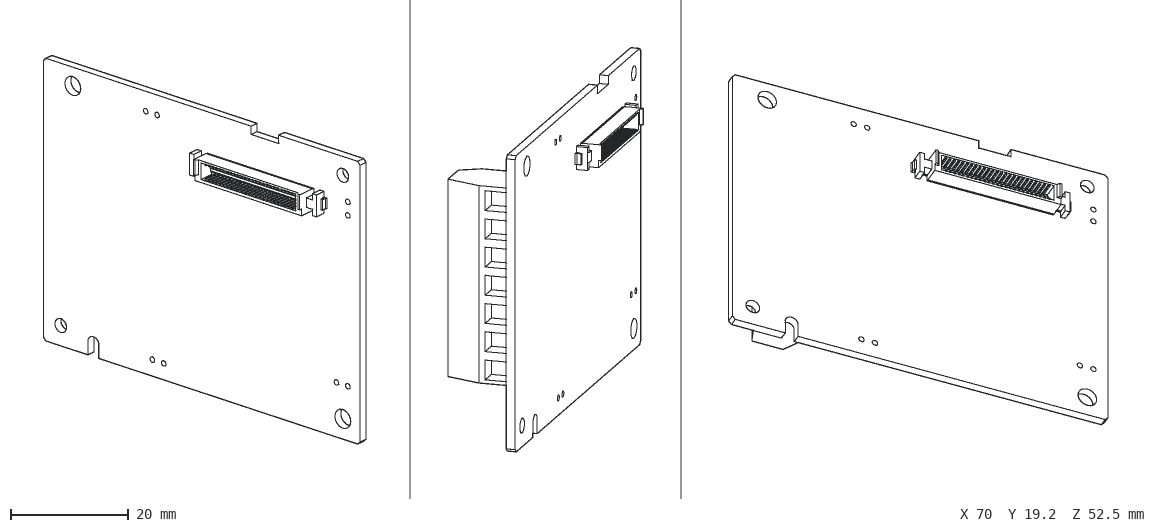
import cadquery as cq

board_width = 70.0
board_height = 52.5
board_thickness = 1.6
board_corner_chamfer = 0.55

mount_hole_diameter = 3.4
mount_hole_centers = [(-28.5, 22.75), (31.15, -22.5)]
locating_hole_diameter = 2.5
locating_hole_centers = [(31.15, 22.75), (-31.15, -22.5)]

pad_hole_diameter = 1.0
pad_hole_pitch = 2.5
pad_hole_across = (pad_hole_pitch, 0)
pad_hole_down = (0, -pad_hole_pitch)
pad_hole_pairs = [
    ((-12.4, 22.55), pad_hole_across),
    ((32.3, 18.1), pad_hole_down),
    ((29.75, -16.1), pad_hole_across),
    ((-10.9, -23.2), pad_hole_across),
]

slot_center_x = -23.95
slot_width = 2.4
slot_depth = 3.7

notch_center_x = 13.9
notch_width = 6.0
notch_depth = 1.55

block_left = -26.7
block_right = -16.65
block_height = 13.8
block_length = 35.0
block_center_z = 0.5
block_top_left = -24.5
block_top_right = -18.7
block_left_wall_height = 7.55
block_right_wall_height = 10.2

window_count = 7
window_pitch = block_length / window_count
window_height = 3.5
window_length = 5.8
window_depth = 3.5
window_above_board = 0.6
window_center_z = block_center_z - 0.1

socket_center_x = 13.0
socket_center_z = 16.6
socket_width = 23.5
socket_height = 4.05
socket_depth = 3.3

plinth_thickness = 0.3
plinth_inset = 0.1

horn_height = 0.5
horn_tip_width = 0.4
horn_root_width = 0.8
horn_drop = 1.25

cavity_width = 20.9
cavity_top = socket_center_z + 1.6
cavity_bottom = socket_center_z - 1.5
cavity_floor = 0.5

tongue_top = cavity_bottom + 2.4
tongue_steps = [(0.15, 0.5), (0.3, 0.7), (0.4, 1.3)]

contact_count = 25
contact_pitch = 0.8
contact_width = 0.3
contact_height = 0.3
contact_setback = 0.15

arm_reach = 14.0
arm_bar_width = 0.9
arm_depth = 2.0
arm_web_height = 1.75
web_foot_height = 1.95

tab_reach = 14.7
tab_height = 1.95
tab_depth = 1.05
tab_lip_width = 0.15
tab_sheet_width = 0.35
tab_foot_thickness = 0.35


def box(x_range, y_range, z_range):
    """Box spanning the three (low, high) ranges."""
    return cq.Workplane("XY").box(
        x_range[1] - x_range[0],
        y_range[1] - y_range[0],
        z_range[1] - z_range[0],
        centered=False,
    ).translate((x_range[0], y_range[0], z_range[0]))


def around(center, size):
    """(low, high) range of the given size about a center."""
    return center - size / 2, center + size / 2


def round_holes(centers, diameter):
    """Cutters for round holes through the board."""
    return (
        cq.Workplane("XZ")
        .pushPoints(centers)
        .circle(diameter / 2)
        .extrude(-board_thickness)
    )


def make_board():
    board = box(
        around(0, board_width), (0, board_thickness), around(0, board_height)
    )
    board = board.edges("|Y").chamfer(board_corner_chamfer)

    pad_hole_centers = []
    for (x, z), (step_x, step_z) in pad_hole_pairs:
        pad_hole_centers.append((x, z))
        pad_hole_centers.append((x + step_x, z + step_z))
    board = board.cut(round_holes(mount_hole_centers, mount_hole_diameter))
    board = board.cut(round_holes(locating_hole_centers, locating_hole_diameter))
    board = board.cut(round_holes(pad_hole_centers, pad_hole_diameter))

    bottom = -board_height / 2
    slot_arc_z = bottom + slot_depth - slot_width / 2
    slot = box(
        around(slot_center_x, slot_width), (0, board_thickness), (bottom, slot_arc_z)
    )
    slot = slot.union(round_holes([(slot_center_x, slot_arc_z)], slot_width))

    top = board_height / 2
    notch = box(
        around(notch_center_x, notch_width), (0, board_thickness), (top - notch_depth, top)
    )
    return board.cut(slot).cut(notch)


def make_terminal_block():
    back = board_thickness
    block = (
        cq.Workplane("XY")
        .workplane(offset=block_center_z - block_length / 2)
        .moveTo(block_left, back)
        .lineTo(block_left, back + block_left_wall_height)
        .lineTo(block_top_left, back + block_height)
        .lineTo(block_top_right, back + block_height)
        .lineTo(block_right, back + block_right_wall_height)
        .lineTo(block_right, back)
        .close()
        .extrude(block_length)
    )

    window_start = back + window_above_board
    for i in range(window_count):
        offset_z = (i - (window_count - 1) / 2) * window_pitch
        block = block.cut(box(
            (block_left, block_left + window_depth),
            (window_start, window_start + window_length),
            around(window_center_z + offset_z, window_height),
        ))
    return block


def make_socket_shell():
    """Housing on its plinth, with the cavity and its stepped tongue."""
    plinth = box(
        around(socket_center_x, socket_width),
        (-plinth_thickness, 0),
        around(socket_center_z, socket_height - 2 * plinth_inset),
    )
    shell = box(
        around(socket_center_x, socket_width),
        (-socket_depth, -plinth_thickness),
        around(socket_center_z, socket_height),
    ).union(plinth)

    cavity_x = around(socket_center_x, cavity_width)
    shell = shell.cut(box(cavity_x, (-socket_depth, -cavity_floor), (cavity_bottom, cavity_top)))
    for step_height, step_edge in tongue_steps:
        shell = shell.union(box(
            cavity_x,
            (-cavity_floor - step_height, -cavity_floor),
            (cavity_bottom + step_edge, tongue_top),
        ))
    return shell


def make_contacts():
    """Two facing rows of contact ribs on the long cavity walls."""
    contacts = cq.Workplane("XY")
    rib_y = (-socket_depth + contact_setback, -cavity_floor)
    for i in range(contact_count):
        offset_x = (i - (contact_count - 1) / 2) * contact_pitch
        rib_x = around(socket_center_x + offset_x, contact_width)
        contacts = contacts.add(box(rib_x, rib_y, (cavity_bottom, cavity_bottom + contact_height)))
        contacts = contacts.add(box(rib_x, rib_y, (cavity_top - contact_height, cavity_top)))
    return contacts.combine()


def make_right_socket_end():
    """Guide horn, T-shaped arm and solder tab at the +X end."""
    wall_x = socket_center_x + socket_width / 2
    bar_x = socket_center_x + arm_reach

    horn_bottom = socket_center_z - socket_height / 2 + horn_drop
    horn = (
        cq.Workplane("XY")
        .workplane(offset=horn_bottom)
        .moveTo(wall_x, -socket_depth)
        .lineTo(wall_x, -socket_depth - horn_height)
        .lineTo(wall_x - horn_tip_width, -socket_depth - horn_height)
        .lineTo(wall_x - horn_root_width, -socket_depth)
        .close()
        .extrude(socket_height - horn_drop)
    )

    web = box(
        (wall_x, bar_x - arm_bar_width),
        (-arm_depth, -plinth_thickness),
        around(socket_center_z, arm_web_height),
    )
    web_foot = box(
        (wall_x, bar_x - arm_bar_width),
        (-plinth_thickness, 0),
        around(socket_center_z, web_foot_height),
    )
    bar = box(
        (bar_x - arm_bar_width, bar_x),
        (-arm_depth, 0),
        around(socket_center_z, socket_height),
    )

    tab_x = socket_center_x + tab_reach
    sheet_x = tab_x - tab_lip_width
    tab = (
        cq.Workplane("XY")
        .workplane(offset=socket_center_z - tab_height / 2)
        .moveTo(bar_x, 0)
        .lineTo(tab_x, 0)
        .lineTo(sheet_x, -tab_foot_thickness)
        .lineTo(sheet_x, -tab_depth)
        .lineTo(sheet_x - tab_sheet_width, -tab_depth)
        .lineTo(sheet_x - tab_sheet_width, -tab_foot_thickness)
        .lineTo(bar_x, -tab_foot_thickness)
        .close()
        .extrude(tab_height)
    )
    return horn.union(web).union(web_foot).union(bar).union(tab)


def make_socket():
    right_end = make_right_socket_end()
    left_end = right_end.mirror("YZ", (socket_center_x, 0, 0))
    return make_socket_shell().union(make_contacts()).union(right_end).union(left_end)


board = make_board()
terminal_block = make_terminal_block()
socket = make_socket()

result = cq.Compound.makeCompound([board.val(), terminal_block.val(), socket.val()])